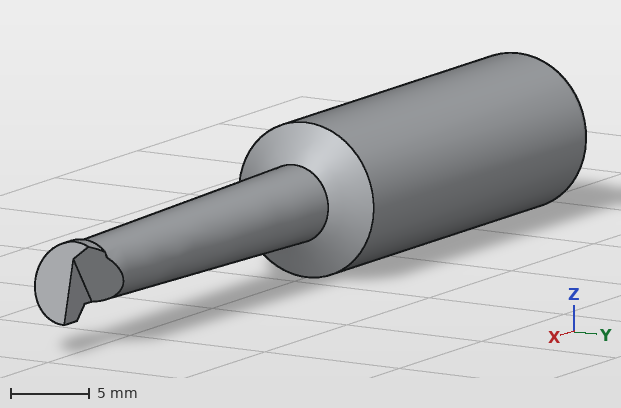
import cadquery as cq

total_length = 56.0
shank_length = 26.55
shoulder_end = 28.0
neck_end = 53.5

shank_radius = 5.01
shank_edge_round = 0.95
neck_start_radius = 2.5
neck_end_radius = 2.0

head_top = 2.2
head_bottom = -2.95
head_radius = (head_top - head_bottom) / 2
head_center_z = (head_top + head_bottom) / 2
head_top_length = 54.6

gash_roof_x = 54.9
gash_roof_height = 1.1
gash_roof_slope = 1.4
gash_roof_rise = 1.2
clearance = 2.8


def make_body():
    """Shank with a rounded rear edge, conical shoulder and tapered neck."""
    return (
        cq.Workplane("XZ")
        .moveTo(0, 0)
        .lineTo(0, shank_radius - shank_edge_round)
        .radiusArc((shank_edge_round, shank_radius), shank_edge_round)
        .lineTo(shank_length, shank_radius)
        .lineTo(shoulder_end, neck_start_radius)
        .lineTo(neck_end, neck_end_radius)
        .lineTo(neck_end, 0)
        .close()
        .revolve(360, (0, 0, 0), (1, 0, 0))
    )


def make_head():
    """Offset cylinder, coned at 45 degrees behind and cut to a sloped end face."""
    head_length = total_length - neck_end
    cylinder = (
        cq.Workplane("YZ", origin=(neck_end, 0, head_center_z))
        .circle(head_radius)
        .extrude(head_length)
    )
    rear_cone = (
        cq.Workplane("XZ")
        .moveTo(neck_end, 0)
        .lineTo(neck_end, neck_end_radius)
        .lineTo(total_length, neck_end_radius + head_length)
        .lineTo(total_length, 0)
        .close()
        .revolve(360, (0, 0, 0), (1, 0, 0))
    )
    side_profile = (
        cq.Workplane("XZ")
        .moveTo(neck_end, head_bottom)
        .lineTo(total_length, head_bottom)
        .lineTo(head_top_length, head_top)
        .lineTo(neck_end, head_top)
        .close()
        .extrude(2 * head_radius, both=True)
    )
    return cylinder.intersect(rear_cone).intersect(side_profile)


def make_gash():
    """Prism on the +Y side of the rake face, under a roof that climbs with X and Y."""
    depth = head_radius + clearance
    sweep = cq.Vector(0, depth, depth * gash_roof_rise)
    floor = head_bottom - clearance - sweep.z
    end = total_length + clearance
    end_height = gash_roof_height + gash_roof_slope * (end - gash_roof_x)
    runout_x = gash_roof_x - (gash_roof_height - floor) / gash_roof_slope
    outline = cq.Wire.makePolygon(
        [
            cq.Vector(runout_x, 0, floor),
            cq.Vector(end, 0, floor),
            cq.Vector(end, 0, end_height),
        ],
        close=True,
    )
    return cq.Workplane(cq.Solid.extrudeLinear(outline, [], sweep))


result = make_body().union(make_head()).cut(make_gash())